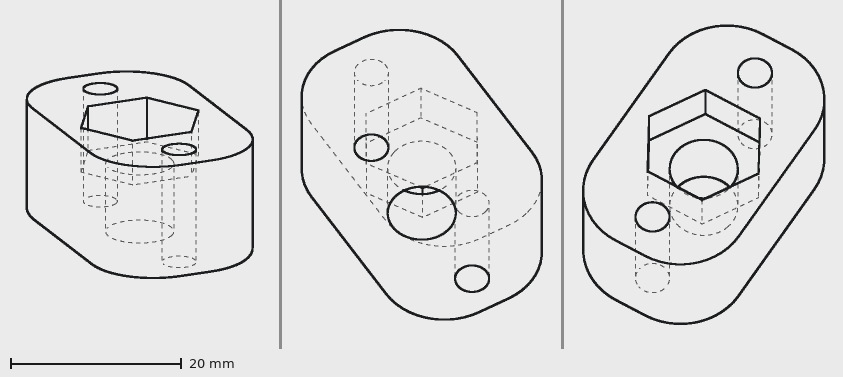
import cadquery as cq
import math

length = 33.0
width = 20.0
height = 14.0
corner_radius = 8.0
bottom_edge_radius = 0.5

bore_diameter = 8.0
hex_across_flats = 13.0
hex_across_corners = hex_across_flats / math.cos(math.pi / 6)
hex_depth = 5.5

mount_hole_diameter = 4.0
mount_hole_spacing = 23.0


def make_body():
    """Block with rounded upright corners and a rounded bottom rim, resting on Z = 0."""
    block = cq.Workplane("XY").box(length, width, height, centered=(True, True, False))
    return block.edges("|Z").fillet(corner_radius).faces("<Z").edges().fillet(bottom_edge_radius)


def through_hole(x, diameter):
    """Vertical cylinder spanning the full body height at the given X."""
    return cq.Workplane("XY").center(x, 0).circle(diameter / 2).extrude(height)


def make_hex_pocket():
    """Hexagonal prism sunk from the top face, with two corners on the Y axis."""
    return (
        cq.Workplane("XY")
        .workplane(offset=height - hex_depth)
        .transformed(rotate=(0, 0, 90))
        .polygon(6, hex_across_corners)
        .extrude(hex_depth)
    )


result = make_body().cut(through_hole(0, bore_diameter)).cut(make_hex_pocket())
for side in (-1, 1):
    result = result.cut(through_hole(side * mount_hole_spacing / 2, mount_hole_diameter))